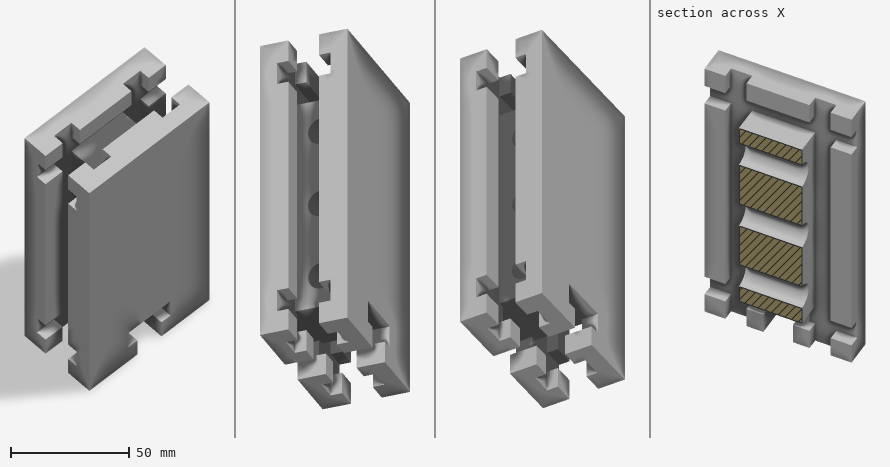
import cadquery as cq

width = 40.0
depth = 70.0
height = 140.0

neck_width = 14.0
head_width = 24.5
lip_thickness = 10.0
slot_depth = 20.0

hole_diameter = 12.5
hole_pitch = 35.0


def t_slot(plane, face_distance, length):
    """T-shaped cutter centred on the part, opening along the plane's +Y at face_distance."""
    half_neck = neck_width / 2
    half_head = head_width / 2
    floor = face_distance - slot_depth
    shoulder = face_distance - lip_thickness
    return (
        cq.Workplane(plane)
        .moveTo(-half_neck, face_distance)
        .lineTo(-half_neck, shoulder)
        .lineTo(-half_head, shoulder)
        .lineTo(-half_head, floor)
        .lineTo(half_head, floor)
        .lineTo(half_head, shoulder)
        .lineTo(half_neck, shoulder)
        .lineTo(half_neck, face_distance)
        .close()
        .extrude(length / 2, both=True)
    )


result = cq.Workplane("XY").box(width, depth, height)

end_slot = t_slot("XZ", height / 2, depth)
result = result.cut(end_slot).cut(end_slot.mirror("XY"))

side_slot = t_slot("XY", depth / 2, height)
result = result.cut(side_slot).cut(side_slot.mirror("XZ"))

cross_slot = t_slot("YZ", height / 2, width).mirror("XY")
result = result.cut(cross_slot)

holes = (
    cq.Workplane("XZ")
    .pushPoints([(0, step * hole_pitch) for step in (-1, 0, 1)])
    .circle(hole_diameter / 2)
    .extrude(depth / 2, both=True)
)
result = result.cut(holes)